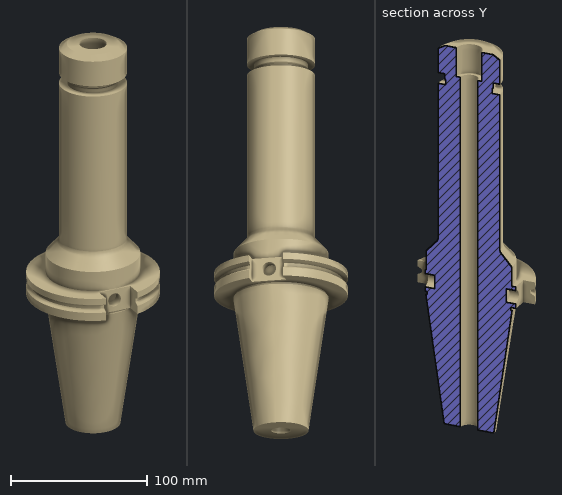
import cadquery as cq
import math

OVERALL_LENGTH = 304.8
TAPER_LENGTH = 101.8
FLANGE_BOTTOM = 103.5
FLANGE_TOP = 121.3
GROOVE_BOTTOM = 110.0
GROOVE_TOP = 116.5
SHOULDER_TOP = 136.5
CONE_TOP = 146.0
SHANK_BOTTOM = 148.7
SHANK_TOP = 273.5
NECK_TOP = 276.8
COLLAR_BOTTOM = 278.0
NUT_BOTTOM = 281.5

GAUGE_RADIUS = 35.0
TAPER_RATIO = 7 / 24
TAPER_END_RADIUS = GAUGE_RADIUS - TAPER_LENGTH * TAPER_RATIO / 2
RELIEF_RADIUS = 33.8
FLANGE_RADIUS = 49.0
GROOVE_RADIUS = 45.7
SHOULDER_RADIUS = 34.7
CONE_TOP_RADIUS = 26.2
SHANK_RADIUS = 25.0
NECK_RADIUS = 19.0
COLLAR_RADIUS = 19.8
NUT_RADIUS = SHANK_RADIUS
NUT_FACE_RADIUS = 19.2

BEVEL_ANGLE = math.radians(30)

BORE_RADIUS = 7.0
COLLET_BORE_RADIUS = 10.0

SLOT_WIDTH = 25.5
LEFT_SLOT_FLOOR = 37.8
RIGHT_SLOT_FLOOR = 35.5
SLOT_HOLE_RADIUS = 5.2
SLOT_HOLE_DEPTH = 7.5
SLOT_HOLE_HEIGHT = 112.8


def make_body():
    """Revolve the outer profile, drawn as radius against height."""
    groove_rise = (FLANGE_RADIUS - GROOVE_RADIUS) * math.tan(BEVEL_ANGLE)
    nut_bevel_bottom = OVERALL_LENGTH - (NUT_RADIUS - NUT_FACE_RADIUS) * math.tan(BEVEL_ANGLE)
    profile = (
        cq.Workplane("XZ")
        .lineTo(TAPER_END_RADIUS, 0)
        .lineTo(GAUGE_RADIUS, TAPER_LENGTH)
        .lineTo(RELIEF_RADIUS, TAPER_LENGTH)
        .lineTo(RELIEF_RADIUS, FLANGE_BOTTOM)
        .lineTo(FLANGE_RADIUS, FLANGE_BOTTOM)
        .lineTo(FLANGE_RADIUS, GROOVE_BOTTOM)
        .lineTo(GROOVE_RADIUS, GROOVE_BOTTOM + groove_rise)
        .lineTo(GROOVE_RADIUS, GROOVE_TOP - groove_rise)
        .lineTo(FLANGE_RADIUS, GROOVE_TOP)
        .lineTo(FLANGE_RADIUS, FLANGE_TOP)
        .lineTo(SHOULDER_RADIUS, FLANGE_TOP)
        .lineTo(SHOULDER_RADIUS, SHOULDER_TOP)
        .lineTo(CONE_TOP_RADIUS, CONE_TOP)
        .tangentArcPoint((SHANK_RADIUS, SHANK_BOTTOM), relative=False)
        .lineTo(SHANK_RADIUS, SHANK_TOP)
        .lineTo(NECK_RADIUS, SHANK_TOP)
        .lineTo(NECK_RADIUS, NECK_TOP)
        .lineTo(COLLAR_RADIUS, COLLAR_BOTTOM)
        .lineTo(COLLAR_RADIUS, NUT_BOTTOM)
        .lineTo(NUT_RADIUS, NUT_BOTTOM)
        .lineTo(NUT_RADIUS, nut_bevel_bottom)
        .lineTo(NUT_FACE_RADIUS, OVERALL_LENGTH)
        .lineTo(0, OVERALL_LENGTH)
        .close()
    )
    return profile.revolve(360, (0, 0, 0), (0, 1, 0))


def make_bore():
    bore = cq.Workplane("XY").circle(BORE_RADIUS).extrude(OVERALL_LENGTH)
    collet_bore = (
        cq.Workplane("XY", origin=(0, 0, NUT_BOTTOM))
        .circle(COLLET_BORE_RADIUS)
        .extrude(OVERALL_LENGTH - NUT_BOTTOM)
    )
    return bore.union(collet_bore)


def make_drive_slot(side, floor):
    """Slot and hole cutter; side is -1 for -X and +1 for +X."""
    slot = (
        cq.Workplane("XY", origin=(side * (floor + FLANGE_RADIUS) / 2, 0, FLANGE_BOTTOM))
        .rect(FLANGE_RADIUS - floor, SLOT_WIDTH)
        .extrude(FLANGE_TOP - FLANGE_BOTTOM)
    )
    hole = (
        cq.Workplane("YZ", origin=(side * floor, 0, SLOT_HOLE_HEIGHT))
        .circle(SLOT_HOLE_RADIUS)
        .extrude(-side * SLOT_HOLE_DEPTH)
    )
    return slot.union(hole)


result = make_body().cut(make_bore())
for side, floor in ((-1, LEFT_SLOT_FLOOR), (1, RIGHT_SLOT_FLOOR)):
    result = result.cut(make_drive_slot(side, floor))